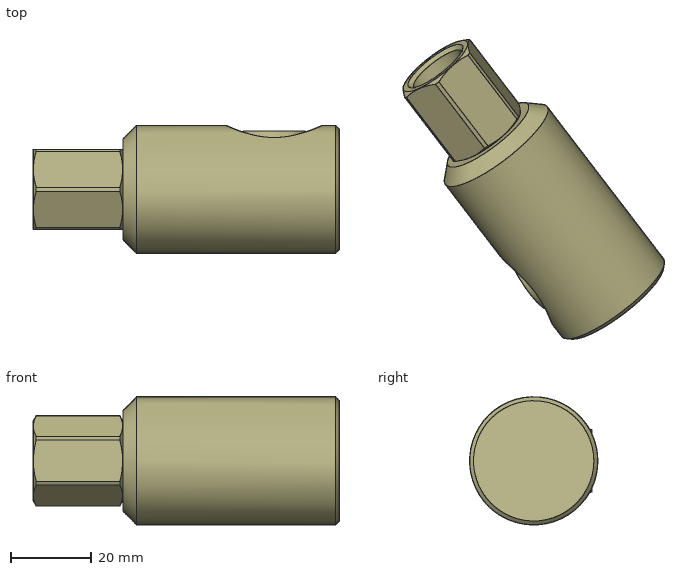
import cadquery as cq

total_length = 76.3
body_radius = 32.0 / 2
hex_length = 22.35

across_flats = 20.0
corner_radius = 22.5 / 2
hex_end_radius = 9.9
hex_end_taper = 0.8

front_bevel = 3.4
rear_bevel = 1.0

bore_radius = 7.5
bore_depth = hex_length
bore_bevel = 1.0

button_x = 60.05
button_face_y = 14.6
button_face_radius = 7.7
groove_bottom_y = 12.1
groove_bottom_radius = 8.7
groove_mouth_y = 16.0
groove_mouth_radius = 12.05


def turned(profile):
    """Revolve an (x, radius) outline about the X axis."""
    return cq.Workplane("XY").polyline(profile).close().revolve(360, (0, 0, 0), (1, 0, 0))


def make_body():
    body_profile = [
        (hex_length, 0),
        (hex_length, body_radius - front_bevel),
        (hex_length + front_bevel, body_radius),
        (total_length - rear_bevel, body_radius),
        (total_length, body_radius - rear_bevel),
        (total_length, 0),
    ]
    return turned(body_profile)


def make_hex_shank():
    hexagon = (
        cq.Workplane("YZ")
        .polygon(6, across_flats, circumscribed=True)
        .extrude(hex_length)
    )
    envelope_profile = [
        (0, 0),
        (0, hex_end_radius),
        (hex_end_taper, corner_radius),
        (hex_length - hex_end_taper, corner_radius),
        (hex_length, hex_end_radius),
        (hex_length, 0),
    ]
    return hexagon.intersect(turned(envelope_profile))


def make_bore():
    bore_profile = [
        (0, 0),
        (0, bore_radius + bore_bevel),
        (bore_bevel, bore_radius),
        (bore_depth, bore_radius),
        (bore_depth, 0),
    ]
    return turned(bore_profile)


def make_button_recess():
    """Material removed above the button face and in the groove around it."""
    recess_profile = [
        (button_x, button_face_y),
        (button_x + button_face_radius, button_face_y),
        (button_x + groove_bottom_radius, groove_bottom_y),
        (button_x + groove_mouth_radius, groove_mouth_y),
        (button_x, groove_mouth_y),
    ]
    return (
        cq.Workplane("XY")
        .polyline(recess_profile)
        .close()
        .revolve(360, (button_x, 0, 0), (button_x, 1, 0))
    )


def make_button_blank():
    """Disc whose rim stands proud of the curved body before the groove shapes it."""
    return (
        cq.Workplane("XZ")
        .center(button_x, 0)
        .circle(groove_bottom_radius)
        .extrude(-button_face_y)
    )


result = (
    make_body()
    .union(make_hex_shank())
    .cut(make_bore())
    .union(make_button_blank())
    .cut(make_button_recess())
)